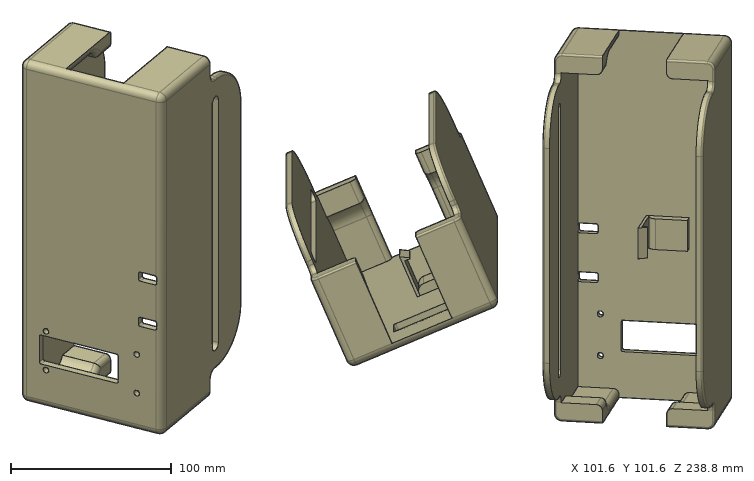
import cadquery as cq

width = 101.6
height = 238.76
front_wall = 4.826
side_wall = 4.445
end_wall = 5.715
front_y = -50.8
box_rear_y = 11.11
ear_rear_y = 50.8
half_width = width / 2
half_height = height / 2
inner_front_y = front_y + front_wall
inner_half_width = half_width - side_wall
inner_half_height = half_height - end_wall

ear_half_height = 101.6
ear_corner_radius = 31.75
ear_root_radius = 5.08
outer_edge_radius = 4.7625
rear_edge_radius = 1.27

edge_tolerance = 0.1

cavity_corner_radius = 12.7
cavity_rear_y = -2.2
rear_opening_half_height = 107.2
channel_half_width = 20.32
channel_edge_radius = 3.81

window_width = 55.88
window_height = 20.32
window_left_x = -36.83
window_corner_radius = 1.27
display_z = -79.25
screw_spacing_x = 64.5
screw_spacing_z = 27.1
screw_hole_diameter = 3.81

cable_slot_width = 12.7
cable_slot_height = 6.35
cable_slot_corner_radius = 1.27
cable_slot_levels = (-10.5, -42.25)

strap_slot_width = 7.62
strap_slot_length = 177.8
strap_slot_y = 16.9

clip_x = 1.2
clip_thickness = 1.905
clip_reach = 27.94
barb_overhang = 3.4
barb_length = 3.81
barb_tip_length = 0.8
clip_bottom_z = -20.0
clip_height = 20.0

stop_depth = 6.35
stop_left_x = -24.0
stop_right_x = clip_x
stop_corner_radius = 5.08
stop_bottom_z = clip_bottom_z
stop_height = clip_height


def block(x_range, y_range, z_range):
    """Axis-aligned box between pairs of limits."""
    (x0, x1), (y0, y1), (z0, z1) = x_range, y_range, z_range
    return cq.Workplane("XY").box(x1 - x0, y1 - y0, z1 - z0, centered=False).translate((x0, y0, z0))


def outer_shape():
    """Box and ears as one solid shape, with rounded outer edges."""
    box = block((-half_width, half_width), (front_y, box_rear_y), (-half_height, half_height))
    ears = block((-half_width, half_width), (front_y, ear_rear_y), (-ear_half_height, ear_half_height))
    ears = ears.edges("|X and >Y").fillet(ear_corner_radius)
    shape = box.union(ears)
    ear_roots = cq.selectors.BoxSelector(
        (-width, box_rear_y - edge_tolerance, -ear_half_height - edge_tolerance),
        (width, box_rear_y + edge_tolerance, ear_half_height + edge_tolerance))
    shape = shape.edges(ear_roots).edges("|X").fillet(ear_root_radius)
    return shape.edges("<Y or (|Y and (>Z or <Z))").fillet(outer_edge_radius)


def round_rear_outline(body):
    """Small rounding all along the rear outline of the box and the ears."""
    rear_edges = cq.selectors.BoxSelector(
        (-width, box_rear_y - edge_tolerance, -height), (width, ear_rear_y + edge_tolerance, height))
    return body.edges(rear_edges).edges("(not |X) or >Z or <Z").fillet(rear_edge_radius)


def cavity():
    """Room behind the front wall with rounded rear corners, open to the rear between the ears."""
    x_range = (-inner_half_width, inner_half_width)
    room = block(x_range, (inner_front_y, cavity_rear_y), (-inner_half_height, inner_half_height))
    room = room.edges("|X and >Y").fillet(cavity_corner_radius)
    opening = block(
        x_range, (inner_front_y, ear_rear_y), (-rear_opening_half_height, rear_opening_half_height))
    return room.union(opening)


def channel():
    """Passage through the top and bottom walls, open to the rear."""
    return block((-channel_half_width, channel_half_width), (inner_front_y, ear_rear_y),
                 (-half_height, half_height))


def round_channel_edges(body):
    """Rounding where the channel meets the inner faces of the top and bottom walls."""
    for side in (-1, 1):
        x = side * channel_half_width
        for end in (-1, 1):
            z_limits = sorted((end * (rear_opening_half_height - edge_tolerance),
                               end * (inner_half_height + edge_tolerance)))
            inner_edges = cq.selectors.BoxSelector(
                (x - edge_tolerance, inner_front_y, z_limits[0]),
                (x + edge_tolerance, box_rear_y - edge_tolerance, z_limits[1]))
            body = body.edges(inner_edges).fillet(channel_edge_radius)
    return body


def display_cutouts():
    """Window with rounded corners, and its four screw holes."""
    y_range = (front_y, inner_front_y)
    window = block((window_left_x, window_left_x + window_width), y_range,
                   (display_z - window_height / 2, display_z + window_height / 2))
    window = window.edges("|Y").fillet(window_corner_radius)
    holes = (
        cq.Workplane("XZ", origin=(0, inner_front_y, display_z))
        .rect(screw_spacing_x, screw_spacing_z, forConstruction=True)
        .vertices()
        .circle(screw_hole_diameter / 2)
        .extrude(front_wall)
    )
    return window.union(holes)


def cable_slot(z):
    """Rounded slot through the front wall, centred at height z."""
    slot = block((inner_half_width - cable_slot_width, inner_half_width), (front_y, inner_front_y),
                 (z - cable_slot_height / 2, z + cable_slot_height / 2))
    return slot.edges("|Y").fillet(cable_slot_corner_radius)


def strap_slot():
    """Upright round-ended slot through the right side."""
    return (
        cq.Workplane("YZ", origin=(inner_half_width, strap_slot_y, 0))
        .slot2D(strap_slot_length, strap_slot_width, angle=90)
        .extrude(side_wall)
    )


def stop_block():
    """Block on the front wall with one rounded corner next to the clip."""
    stop = block((stop_left_x, stop_right_x), (inner_front_y, inner_front_y + stop_depth),
                 (stop_bottom_z, stop_bottom_z + stop_height))
    return stop.edges("|Z and >X and >Y").fillet(stop_corner_radius)


def snap_clip():
    """Straight arm with a barb at its rear end, pointing to -X."""
    tip_y = inner_front_y + clip_reach
    barb_y = tip_y - barb_length
    return (
        cq.Workplane("XY", origin=(0, 0, clip_bottom_z))
        .moveTo(clip_x, inner_front_y)
        .lineTo(clip_x + clip_thickness, inner_front_y)
        .lineTo(clip_x + clip_thickness, tip_y)
        .lineTo(clip_x - barb_overhang, barb_y + barb_tip_length)
        .lineTo(clip_x - barb_overhang, barb_y)
        .lineTo(clip_x, barb_y)
        .close()
        .extrude(clip_height)
    )


housing = round_rear_outline(outer_shape()).cut(cavity()).cut(channel())
housing = round_channel_edges(housing)
housing = housing.cut(display_cutouts()).cut(strap_slot())
for level in cable_slot_levels:
    housing = housing.cut(cable_slot(level))
housing = housing.union(stop_block())
clip = snap_clip()

result = cq.Compound.makeCompound([housing.val(), clip.val()])